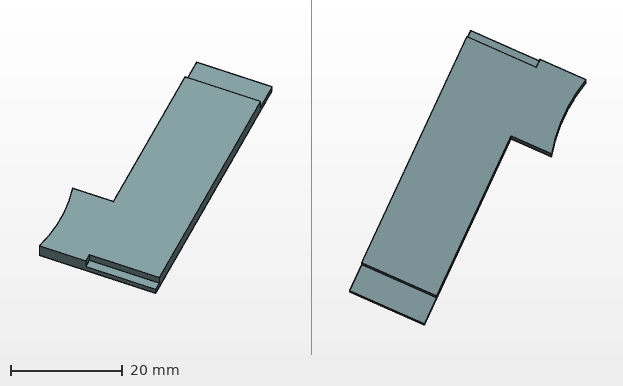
import cadquery as cq

length = 52.5
overall_width = 22.75
thickness = 2.6

arm_width = 14.75
foot_length = 14.95
arc_depth = 0.95

ledge_thickness = 1.1
end_ledge_length = 5.25
foot_ledge_length = 1.65
foot_ledge_width = 13.65

arm_left = overall_width - arm_width


def plate():
    """L-shaped plate whose foot has a concave arc on its -X side."""
    return (
        cq.Workplane("XY")
        .moveTo(0, 0)
        .lineTo(overall_width, 0)
        .lineTo(overall_width, length)
        .lineTo(arm_left, length)
        .lineTo(arm_left, foot_length)
        .lineTo(0, foot_length)
        .threePointArc((arc_depth, foot_length / 2), (0, 0))
        .close()
        .extrude(thickness)
    )


def ledge_cut(left, front, cut_length):
    """Block above a ledge, running from left to the +X side of the plate."""
    return (
        cq.Workplane("XY")
        .box(overall_width - left, cut_length, thickness - ledge_thickness, centered=False)
        .translate((left, front, ledge_thickness))
    )


end_ledge = ledge_cut(arm_left, length - end_ledge_length, end_ledge_length)
foot_ledge = ledge_cut(overall_width - foot_ledge_width, 0, foot_ledge_length)

result = plate().cut(end_ledge).cut(foot_ledge)